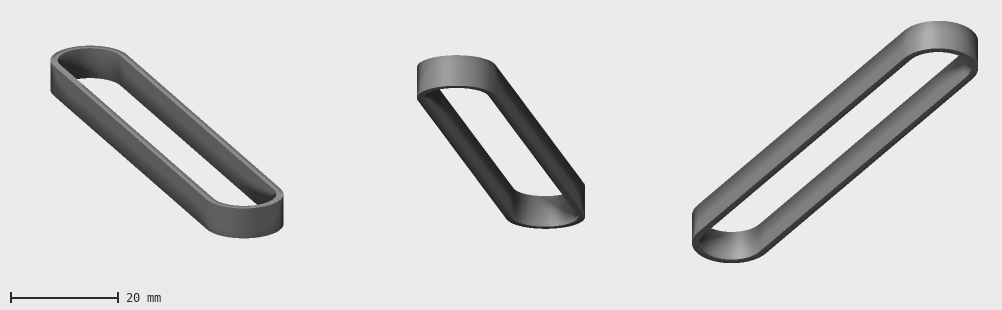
import cadquery as cq
import math

length = 89.1
width = 21.1
height = 6.0

outer_radius = 7.4
wall = 1.3

center_span_x = length - 2 * outer_radius
center_span_y = width - 2 * outer_radius
center_distance = math.hypot(center_span_x, center_span_y)
tilt = math.degrees(math.atan2(center_span_y, center_span_x))


def tilted_slot(radius):
    """Solid slot around the two arc centres, tilted about Z."""
    return (
        cq.Workplane("XY")
        .slot2D(center_distance + 2 * radius, 2 * radius, tilt)
        .extrude(height)
    )


result = tilted_slot(outer_radius).cut(tilted_slot(outer_radius - wall))